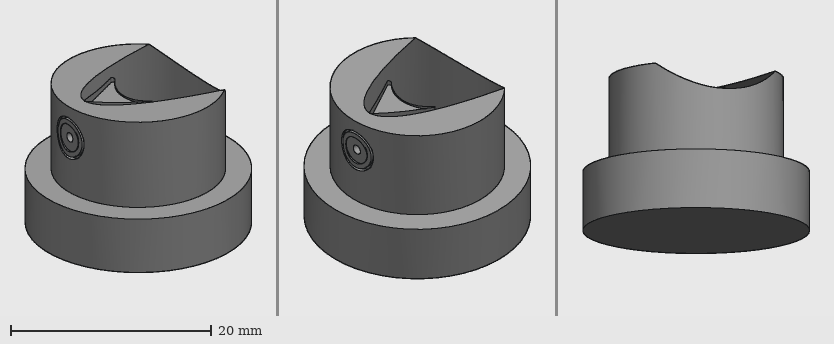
import cadquery as cq
import math

BASE_DIAMETER = 22.65
BASE_HEIGHT = 5.98
BOSS_DIAMETER = 17.45
TOTAL_HEIGHT = 15.5
BOSS_RADIUS = BOSS_DIAMETER / 2

SCOOP_RADIUS = 10.12
SCOOP_TILT = 10.0
SCOOP_TIP_Y = -6.65
SCOOP_OVERRUN = 9.05

POCKET_DEPTH = 1.0
POCKET_TIP_Y = SCOOP_TIP_Y
POCKET_TIP_ANGLE = 58.0
POCKET_ARC_RADIUS = 4.4
POCKET_ARC_LOW_Y = -1.85
CORNER_RADIUS = 0.2

MARK_Z = 11.98
GROOVE_OUTER_DIAMETER = 4.5
GROOVE_INNER_DIAMETER = 4.0
GROOVE_DEPTH = 0.5
RECESS_DIAMETER = 3.0
RECESS_DEPTH = 0.2
HOLE_DIAMETER = 1.0
HOLE_DEPTH = 2.0


def make_body():
    base = cq.Workplane("XY").circle(BASE_DIAMETER / 2).extrude(BASE_HEIGHT)
    boss = cq.Workplane("XY").circle(BOSS_RADIUS).extrude(TOTAL_HEIGHT)
    return base.union(boss)


def make_scoop():
    """Cylinder whose lowest line starts at the scoop tip and sinks toward +Y."""
    tilt = math.radians(SCOOP_TILT)
    axis = cq.Vector(0, math.cos(tilt), -math.sin(tilt))
    upward = cq.Vector(0, math.sin(tilt), math.cos(tilt))
    tip = cq.Vector(0, SCOOP_TIP_Y, TOTAL_HEIGHT)
    start = tip + upward * SCOOP_RADIUS - axis * SCOOP_OVERRUN
    length = BOSS_DIAMETER + 2 * SCOOP_OVERRUN
    return cq.Workplane(cq.Solid.makeCylinder(SCOOP_RADIUS, length, start, axis))


def mirrored(point):
    """The same point on the other side of the YZ plane."""
    return (-point[0], point[1])


def make_pocket():
    """Arrowhead: rounded tip, two straight sides, rounded ears and a concave arc between the ears."""
    half_angle = math.radians(POCKET_TIP_ANGLE / 2)
    sine = math.sin(half_angle)
    cosine = math.cos(half_angle)
    tip_centre_y = POCKET_TIP_Y + CORNER_RADIUS
    arc_centre_y = POCKET_ARC_LOW_Y + POCKET_ARC_RADIUS

    rise = arc_centre_y - tip_centre_y
    centre_distance = POCKET_ARC_RADIUS + CORNER_RADIUS
    side_length = rise * cosine - math.sqrt(centre_distance**2 - (rise * sine) ** 2)
    ear_x = side_length * sine
    ear_y = tip_centre_y + side_length * cosine

    side_start = (CORNER_RADIUS * cosine, tip_centre_y - CORNER_RADIUS * sine)
    side_end = (ear_x + CORNER_RADIUS * cosine, ear_y - CORNER_RADIUS * sine)
    ear_top = (ear_x, ear_y + CORNER_RADIUS)
    arc_share = POCKET_ARC_RADIUS / centre_distance
    arc_end = (ear_x * arc_share, arc_centre_y + (ear_y - arc_centre_y) * arc_share)

    return (
        cq.Workplane("XY", origin=(0, 0, TOTAL_HEIGHT - POCKET_DEPTH))
        .moveTo(*side_start)
        .lineTo(*side_end)
        .threePointArc(ear_top, arc_end)
        .threePointArc((0, POCKET_ARC_LOW_Y), mirrored(arc_end))
        .threePointArc(mirrored(ear_top), mirrored(side_end))
        .lineTo(*mirrored(side_start))
        .threePointArc((0, POCKET_TIP_Y), side_start)
        .close()
        .extrude(POCKET_DEPTH)
    )


def side_disc(diameter, depth):
    """Round cutter entering the boss from its -Y side."""
    return (
        cq.Workplane("XZ", origin=(0, -BOSS_RADIUS + depth, MARK_Z))
        .circle(diameter / 2)
        .extrude(depth)
    )


def make_mark():
    """Ring groove around a flat shallow recess with a blind centre hole."""
    groove = side_disc(GROOVE_OUTER_DIAMETER, GROOVE_DEPTH)
    groove = groove.cut(side_disc(GROOVE_INNER_DIAMETER, GROOVE_DEPTH))
    recess = side_disc(RECESS_DIAMETER, RECESS_DEPTH)
    hole = side_disc(HOLE_DIAMETER, HOLE_DEPTH)
    return groove.union(recess).union(hole)


result = make_body().cut(make_scoop()).cut(make_pocket()).cut(make_mark())